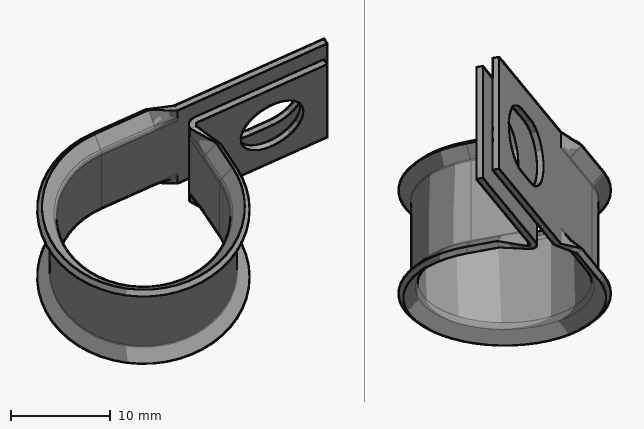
import cadquery as cq
import math

sheet = 0.7
half_width = 12.7 / 2
inner_radius = 8.7
outer_radius = inner_radius + sheet
rim_radius = 21.3 / 2

flare_angle = math.radians(45)
flare_bend_radius = 0.2

side_run = 6.15
side_taper_end = 8.65
back_run = 3.35

overall_length = 36.4
long_leg_end = overall_length - rim_radius
short_leg_end = 24.55
short_leg_x = -7.17
leg_bend_inner_radius = 0.33
leg_bend_outer_radius = leg_bend_inner_radius + sheet
back_taper_end = -short_leg_x - leg_bend_outer_radius

hole_y = 18.25
hole_diameter = 7.15
slot_length = 9.57

cos_flare = math.cos(flare_angle)
sin_flare = math.sin(flare_angle)
bend_r = outer_radius + flare_bend_radius
flare_start_r = bend_r - flare_bend_radius * cos_flare
flare_rise = (rim_radius - flare_start_r) / math.tan(flare_angle)
bend_z = half_width - flare_rise - (flare_bend_radius + sheet) * sin_flare


def bend_point(radius, angle):
    return (bend_r - radius * math.cos(angle), bend_z + radius * math.sin(angle))


def flared_section(plane):
    """Upper half of the strip section with its flared rim."""
    inner_bend = flare_bend_radius + sheet
    tip = (rim_radius, half_width - sheet * sin_flare)
    lip = (rim_radius - sheet * cos_flare, half_width)
    return (
        cq.Workplane(plane)
        .moveTo(inner_radius, 0)
        .lineTo(outer_radius, 0)
        .lineTo(outer_radius, bend_z)
        .threePointArc(
            bend_point(flare_bend_radius, flare_angle / 2),
            bend_point(flare_bend_radius, flare_angle),
        )
        .lineTo(*tip)
        .lineTo(*lip)
        .lineTo(*bend_point(inner_bend, flare_angle))
        .threePointArc(bend_point(inner_bend, flare_angle / 2), (inner_radius, bend_z))
        .close()
    )


def flat_section(plane):
    """Upper half of the flat strip, with one corner for each corner of the flared section."""
    outer_bend_top = bend_point(flare_bend_radius, flare_angle)[1]
    inner_bend_top = bend_point(flare_bend_radius + sheet, flare_angle)[1]
    return cq.Workplane(plane).polyline([
        (inner_radius, 0),
        (outer_radius, 0),
        (outer_radius, bend_z),
        (outer_radius, outer_bend_top),
        (outer_radius, half_width),
        (inner_radius, half_width),
        (inner_radius, inner_bend_top),
        (inner_radius, bend_z),
    ]).close()


def straight_run(plane, run, taper_end):
    """Flared straight strip whose rim then fades into the flat strip."""
    taper_plane = cq.Plane(plane.origin + plane.zDir * run, plane.xDir, plane.zDir)
    end_plane = cq.Plane(plane.origin + plane.zDir * taper_end, plane.xDir, plane.zDir)
    taper = cq.Solid.makeLoft(
        [flared_section(taper_plane).wire().val(), flat_section(end_plane).wire().val()], True
    )
    return flared_section(plane).extrude(run).union(cq.Workplane(taper))


def long_leg():
    return cq.Workplane("XY").box(
        sheet, long_leg_end - side_taper_end, half_width, centered=False
    ).translate((-outer_radius, side_taper_end, 0))


def short_leg():
    """Leg rising from the back run through a quarter bend."""
    bend_x = -back_taper_end
    bend_y = inner_radius + leg_bend_outer_radius
    diagonal = math.sqrt(0.5)
    return (
        cq.Workplane("XY")
        .moveTo(bend_x, inner_radius)
        .threePointArc(
            (bend_x - leg_bend_outer_radius * diagonal, bend_y - leg_bend_outer_radius * diagonal),
            (short_leg_x, bend_y),
        )
        .lineTo(short_leg_x, short_leg_end)
        .lineTo(short_leg_x + sheet, short_leg_end)
        .lineTo(short_leg_x + sheet, bend_y)
        .threePointArc(
            (bend_x - leg_bend_inner_radius * diagonal, bend_y - leg_bend_inner_radius * diagonal),
            (bend_x, outer_radius),
        )
        .close()
        .extrude(half_width)
    )


side_plane = cq.Plane((0, 0, 0), (-1, 0, 0), (0, 1, 0))
back_plane = cq.Plane((0, 0, 0), (0, 1, 0), (-1, 0, 0))

ring = flared_section(side_plane).revolve(270, (0, 0), (0, 1))
side = straight_run(side_plane, side_run, side_taper_end)
back = straight_run(back_plane, back_run, back_taper_end).mirror("XY")

upper_half = ring.union(side).union(back).union(long_leg()).union(short_leg())
clamp = upper_half.union(upper_half.mirror("XY"))

slot = (
    cq.Workplane("YZ", origin=(-outer_radius, hole_y, 0))
    .slot2D(slot_length, hole_diameter)
    .extrude(sheet)
)
round_hole = (
    cq.Workplane("YZ", origin=(short_leg_x, hole_y, 0))
    .circle(hole_diameter / 2)
    .extrude(sheet)
)
result = clamp.cut(slot).cut(round_hole)